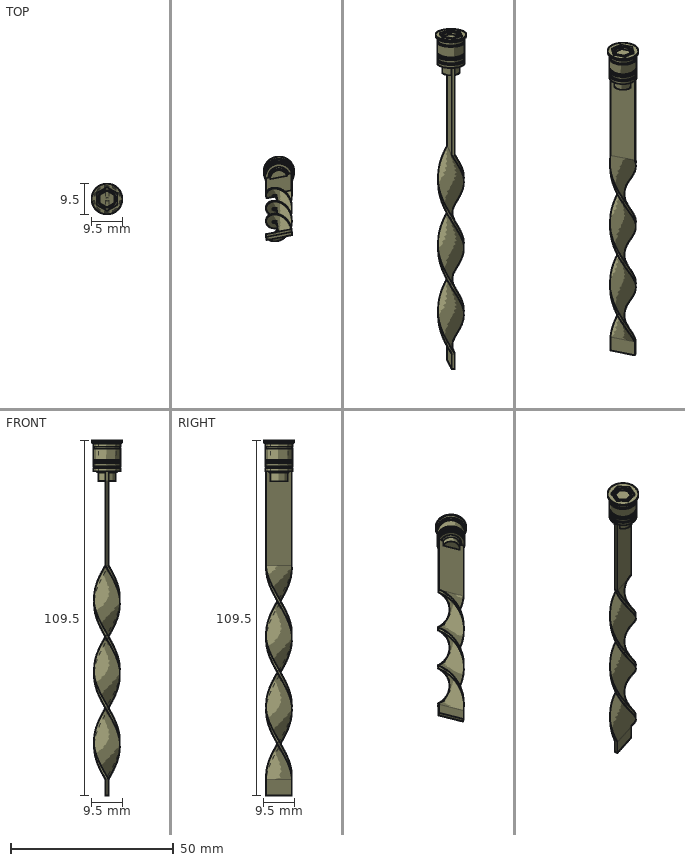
import cadquery as cq
import math

total_length = 109.5
top_z = total_length / 2

flange_radius = 4.75
flange_thickness = 0.5
root_chamfer = 0.5
body_radius = flange_radius - root_chamfer
body_depth = 9.5
collar_depth = body_depth + root_chamfer
round_groove_radius = 0.25
round_groove_depth = 2.25
housing_socket_across_flats = 6.3
housing_socket_depth = 0.8

barb_height = 0.25
barb_taper = 0.025
first_barb_depth = 6.0
first_taper_length = 0.3
second_ramp_length = 0.4
land_length = 0.6
second_taper_length = 0.35
valley_wall_angle = 35.0

pin_radius = 2.75
pin_end_depth = 12.5
pin_shoulder_depth = 0.25
pin_crown_height = 0.1
pin_socket_across_flats = 4.5
pin_socket_depth = 1.0

strip_width = 8.0
strip_thickness = 1.0
upper_flat_length = 29.0
lower_flat_length = 5.0
twist_length = total_length - body_depth - upper_flat_length - lower_flat_length
twist_angle = -540.0
strip_top_z = top_z - body_depth
lower_flat_z = strip_top_z - upper_flat_length - twist_length


def hex_prism(across_flats, depth):
    """Prism going down from the top face, with flats facing +X and -X."""
    return (
        cq.Workplane("XY", origin=(0, 0, top_z))
        .polygon(6, across_flats / math.cos(math.pi / 6))
        .extrude(-depth)
        .rotate((0, 0, 0), (0, 0, 1), 30)
    )


def flat_strip(z, length):
    """Flat length of strip going down from height z."""
    return (
        cq.Workplane("XY", origin=(0, 0, z))
        .rect(strip_thickness, strip_width)
        .extrude(-length)
    )


def barb_points():
    """Radius and depth of each corner of the barbs, from the top down."""
    inner_radius = body_radius - barb_height
    tapered_radius = body_radius - barb_taper
    first_crest = first_barb_depth + barb_height
    second_barb_depth = first_crest + first_taper_length
    land_top = second_barb_depth + second_ramp_length
    land_bottom = land_top + land_length
    second_crest = land_bottom + second_taper_length
    valley = second_crest + barb_height / math.tan(math.radians(valley_wall_angle))
    return [
        (body_radius, first_barb_depth),
        (inner_radius, first_barb_depth),
        (body_radius, first_crest),
        (tapered_radius, second_barb_depth),
        (inner_radius, second_barb_depth),
        (tapered_radius, land_top),
        (tapered_radius, land_bottom),
        (body_radius, second_crest),
        (inner_radius, valley),
        (body_radius, valley + barb_height),
    ]


def make_housing():
    """Half profile turned about Z, with the socket, pin bore and strip slot cut out."""
    profile = (
        cq.Workplane("XZ", origin=(0, 0, top_z))
        .lineTo(flange_radius, 0)
        .lineTo(flange_radius, -flange_thickness)
        .lineTo(body_radius, -flange_thickness - root_chamfer)
        .lineTo(body_radius, -round_groove_depth + round_groove_radius)
        .threePointArc(
            (body_radius - round_groove_radius, -round_groove_depth),
            (body_radius, -round_groove_depth - round_groove_radius),
        )
    )
    for radius, depth in barb_points():
        profile = profile.lineTo(radius, -depth)
    turned = (
        profile.lineTo(body_radius, -body_depth)
        .lineTo(pin_radius + root_chamfer, -body_depth)
        .lineTo(pin_radius, -collar_depth)
        .lineTo(0, -collar_depth)
        .close()
        .revolve(360, (0, 0, 0), (0, 1, 0))
    )
    socket = hex_prism(housing_socket_across_flats, housing_socket_depth)
    bore = cq.Workplane("XY", origin=(0, 0, top_z)).circle(pin_radius).extrude(-collar_depth)
    slot = flat_strip(strip_top_z, upper_flat_length)
    return turned.cut(socket).cut(bore).cut(slot)


def make_pin():
    """Round pin, its lower end slotted to hold the strip."""
    crown_radius = pin_socket_across_flats / 2
    crown_depth = pin_shoulder_depth - pin_crown_height
    turned = (
        cq.Workplane("XZ", origin=(0, 0, top_z))
        .moveTo(0, -pin_end_depth)
        .lineTo(pin_radius, -pin_end_depth)
        .lineTo(pin_radius, -pin_shoulder_depth)
        .lineTo(crown_radius, -crown_depth)
        .lineTo(0, -crown_depth)
        .close()
        .revolve(360, (0, 0, 0), (0, 1, 0))
    )
    socket = hex_prism(pin_socket_across_flats, pin_socket_depth)
    slot = flat_strip(strip_top_z, upper_flat_length)
    return turned.cut(socket).cut(slot)


def make_strip():
    """Upper flat, twisted length and lower flat joined into one strip."""
    twisted = (
        cq.Workplane("XY", origin=(0, 0, lower_flat_z))
        .rect(strip_thickness, strip_width)
        .twistExtrude(twist_length, twist_angle)
    )
    upper_flat = flat_strip(strip_top_z, upper_flat_length)
    lower_flat = flat_strip(lower_flat_z, lower_flat_length)
    return upper_flat.union(twisted).union(lower_flat)


housing = make_housing()
pin = make_pin()
strip = make_strip()

result = cq.Compound.makeCompound([body.solids().val() for body in (housing, pin, strip)])